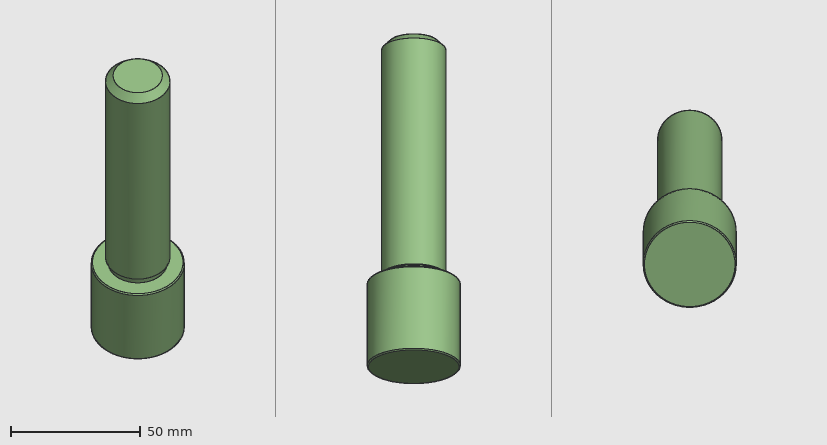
import cadquery as cq

total_length = 135.0
head_diameter = 36.0
head_length = 35.0
head_chamfer = 0.5
neck_diameter = 23.0
neck_length = 3.0
shank_diameter = 25.0
tip_chamfer = 3.0

shank_length = total_length - head_length - neck_length

head = cq.Workplane("XY").circle(head_diameter / 2).extrude(head_length)
head = head.faces("<Z or >Z").chamfer(head_chamfer)

neck = cq.Workplane("XY", origin=(0, 0, head_length)).circle(neck_diameter / 2).extrude(neck_length)

shank_base = head_length + neck_length
shank = cq.Workplane("XY", origin=(0, 0, shank_base)).circle(shank_diameter / 2).extrude(shank_length)
shank = shank.faces(">Z").chamfer(tip_chamfer)

result = head.union(neck).union(shank)